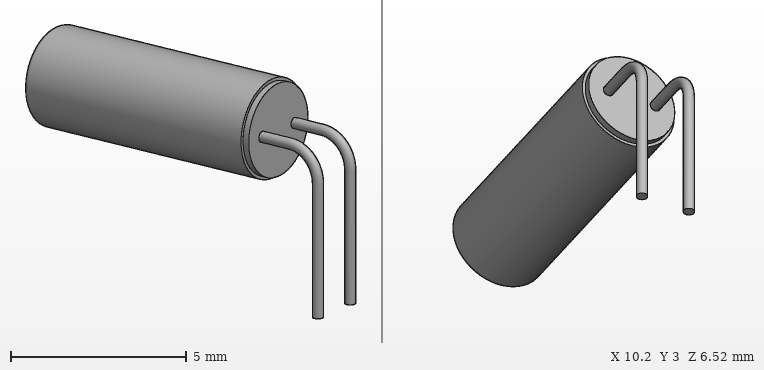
import cadquery as cq

can_diameter = 3.0
can_length = 7.8
closed_end_radius = 0.2

plug_diameter = 2.8
plug_length = 0.2

overall_length = 10.16
overall_height = 6.52
lead_diameter = 0.33
lead_spacing = 1.52
bend_radius = 1.0

plug_end_x = can_length + plug_length
leg_x = overall_length - lead_diameter / 2
bend_start_x = leg_x - bend_radius
leg_bottom_z = can_diameter / 2 - overall_height


def make_body():
    """Can and plug, centred on the X axis with the closed end at X = 0."""
    can = (
        cq.Workplane("YZ")
        .circle(can_diameter / 2)
        .extrude(can_length)
        .faces("<X")
        .edges()
        .fillet(closed_end_radius)
    )
    plug = (
        cq.Workplane("YZ", origin=(can_length, 0, 0))
        .circle(plug_diameter / 2)
        .extrude(plug_length)
    )
    return can.union(plug)


def make_lead(y):
    """Wire starting at the outer plug face: straight, quarter bend, then leg."""
    path = (
        cq.Workplane("XZ", origin=(0, y, 0))
        .moveTo(plug_end_x, 0)
        .lineTo(bend_start_x, 0)
        .tangentArcPoint((leg_x, -bend_radius), relative=False)
        .lineTo(leg_x, leg_bottom_z)
    )
    section = cq.Workplane("YZ", origin=(plug_end_x, y, 0)).circle(lead_diameter / 2)
    return section.sweep(path)


result = make_body()
for side in (-1, 1):
    result = result.union(make_lead(side * lead_spacing / 2))